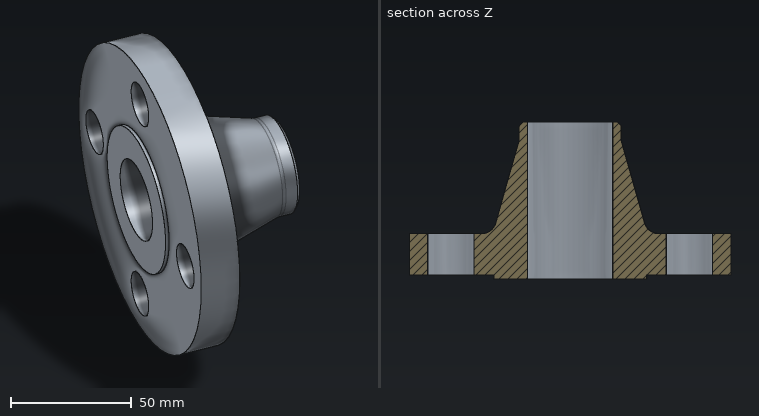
import cadquery as cq
import math

flange_diameter = 133.3
flange_thickness = 17.3
face_diameter = 63.5
face_height = 1.6
overall_length = 65.0
bore_diameter = 35.2

neck_diameter = 42.4
neck_length = 7.6
hub_base_diameter = 64.3
hub_root_radius = 6.0
weld_bevel_length = 1.6
weld_bevel_depth = 1.6
neck_blend_radius = 6.0

bolt_hole_diameter = 19.0
bolt_circle_diameter = 98.6
bolt_count = 4

flange_radius = flange_diameter / 2
face_radius = face_diameter / 2
neck_radius = neck_diameter / 2
hub_base_radius = hub_base_diameter / 2
flange_back = face_height + flange_thickness
neck_start = overall_length - neck_length


def rounded_corner(before, corner, after, radius):
    """Return the start, middle and end points of an arc rounding a corner."""
    corner = cq.Vector(*corner)
    to_before = (cq.Vector(*before) - corner).normalized()
    to_after = (cq.Vector(*after) - corner).normalized()
    half_angle = to_before.getAngle(to_after) / 2
    setback = radius / math.tan(half_angle)
    middle_distance = radius / math.sin(half_angle) - radius
    bisector = (to_before + to_after).normalized()
    points = (
        corner + to_before * setback,
        corner + bisector * middle_distance,
        corner + to_after * setback,
    )
    return [(point.x, point.y) for point in points]


def make_body():
    """Revolve the half section, drawn as (radius, Y), about the Y axis."""
    flange_edge = (flange_radius, flange_back)
    hub_base = (hub_base_radius, flange_back)
    neck_base = (neck_radius, neck_start)
    bevel_start = (neck_radius, overall_length - weld_bevel_length)
    root = rounded_corner(flange_edge, hub_base, neck_base, hub_root_radius)
    blend = rounded_corner(hub_base, neck_base, bevel_start, neck_blend_radius)
    profile = (
        cq.Workplane("XY")
        .lineTo(face_radius, 0)
        .lineTo(face_radius, face_height)
        .lineTo(flange_radius, face_height)
        .lineTo(*flange_edge)
        .lineTo(*root[0])
        .threePointArc(root[1], root[2])
        .lineTo(*blend[0])
        .threePointArc(blend[1], blend[2])
        .lineTo(*bevel_start)
        .lineTo(neck_radius - weld_bevel_depth, overall_length)
        .lineTo(0, overall_length)
        .close()
    )
    return profile.revolve(360, (0, 0), (0, 1))


def make_hole(diameter, x=0, z=0):
    """Make a cylinder along Y through the full length of the part."""
    return cq.Workplane("XZ").center(x, z).circle(diameter / 2).extrude(-overall_length)


result = make_body().cut(make_hole(bore_diameter))
for index in range(bolt_count):
    angle = 2 * math.pi * index / bolt_count
    x = bolt_circle_diameter / 2 * math.cos(angle)
    z = bolt_circle_diameter / 2 * math.sin(angle)
    result = result.cut(make_hole(bolt_hole_diameter, x, z))